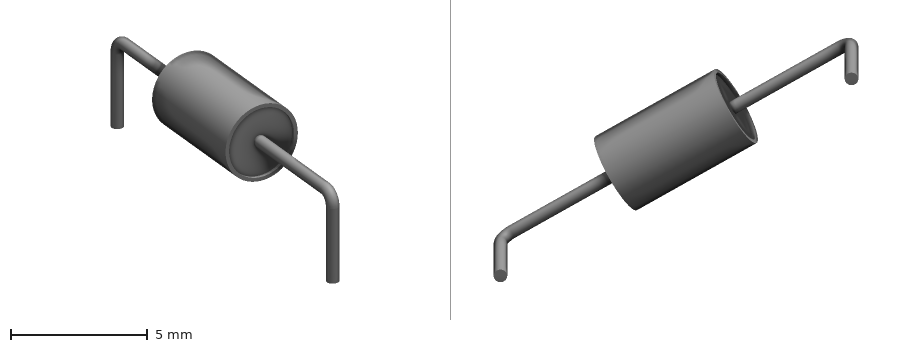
import cadquery as cq
import math

span = 15.5
height = 5.1

body_diameter = 3.1
body_length = 5.12
recess_diameter = 2.79
recess_depth = 0.14

wire_diameter = 0.5
bend_radius = 0.51

wire_x = (span - wire_diameter) / 2
wire_bottom = body_diameter / 2 - height


def make_body():
    """Cylinder with a shallow round recess in each end face."""
    body = cq.Workplane("YZ", origin=(-body_length / 2, 0, 0)).circle(body_diameter / 2).extrude(body_length)
    for end_face in ("<X", ">X"):
        body = body.faces(end_face).workplane().circle(recess_diameter / 2).cutBlind(-recess_depth)
    return body


def make_wire():
    """Round wire through the body, bent down at both ends."""
    bend_start = wire_x - bend_radius
    diagonal = bend_radius * math.sqrt(0.5)
    bend_mid_x = bend_start + diagonal
    bend_mid_z = diagonal - bend_radius
    path = (
        cq.Workplane("XZ")
        .moveTo(-wire_x, wire_bottom)
        .lineTo(-wire_x, -bend_radius)
        .threePointArc((-bend_mid_x, bend_mid_z), (-bend_start, 0))
        .lineTo(bend_start, 0)
        .threePointArc((bend_mid_x, bend_mid_z), (wire_x, -bend_radius))
        .lineTo(wire_x, wire_bottom)
    )
    start = cq.Workplane("XY", origin=(-wire_x, 0, wire_bottom))
    return start.circle(wire_diameter / 2).sweep(path)


result = make_body().union(make_wire())